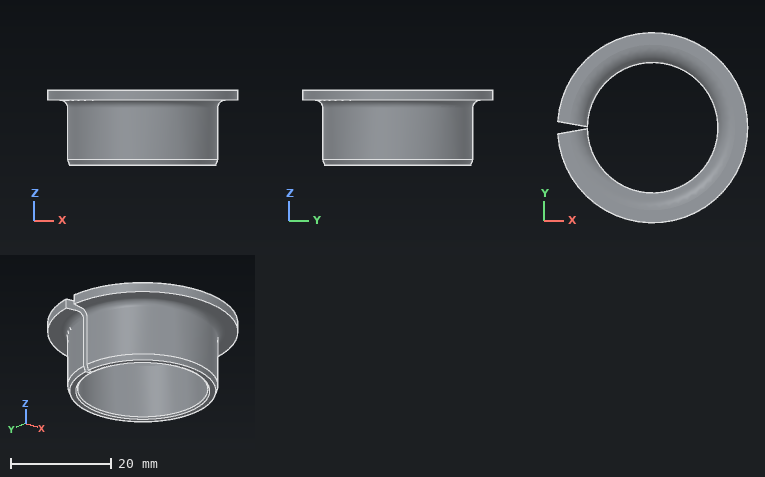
import cadquery as cq
import math

height = 15.0
flange_radius = 19.0
bore_radius = 13.0
wall = 2.0
bend_inner_radius = 1.52
chamfer_height = 1.15
chamfer_depth = 0.4
bore_chamfer = 0.38

split_bore_width = 0.35
split_half_angle = math.radians(10)
split_overrun = 1.9

sleeve_radius = bore_radius + wall
bend_outer_radius = bend_inner_radius + wall
bend_center_radius = sleeve_radius + bend_inner_radius
bend_center_z = height - bend_outer_radius
flange_bottom = height - wall


def bend_midpoint(radius):
    """Middle of a quarter bend, facing the axis and upward."""
    offset = radius * math.sqrt(0.5)
    return (bend_center_radius - offset, bend_center_z + offset)


def make_bushing():
    """Constant-thickness wall, bent outward into the flange."""
    return (
        cq.Workplane("XZ")
        .moveTo(bore_radius + bore_chamfer, 0)
        .lineTo(bore_radius, bore_chamfer)
        .lineTo(bore_radius, bend_center_z)
        .threePointArc(bend_midpoint(bend_outer_radius), (bend_center_radius, height))
        .lineTo(flange_radius, height)
        .lineTo(flange_radius, flange_bottom)
        .lineTo(bend_center_radius, flange_bottom)
        .threePointArc(bend_midpoint(bend_inner_radius), (sleeve_radius, bend_center_z))
        .lineTo(sleeve_radius, chamfer_height)
        .lineTo(sleeve_radius - chamfer_depth, 0)
        .close()
        .revolve(360, (0, 0, 0), (0, 1, 0))
        .rotate((0, 0, 0), (0, 0, 1), 180)
    )


def make_split():
    """Wedge that widens outward from the bore, over the full height."""
    apex_x = -bore_radius + split_bore_width / 2 / math.tan(split_half_angle)
    outer_x = -(flange_radius + split_overrun)
    outer_half_width = (apex_x - outer_x) * math.tan(split_half_angle)
    return (
        cq.Workplane("XY")
        .polyline([(apex_x, 0), (outer_x, outer_half_width), (outer_x, -outer_half_width)])
        .close()
        .extrude(height)
    )


result = make_bushing().cut(make_split())